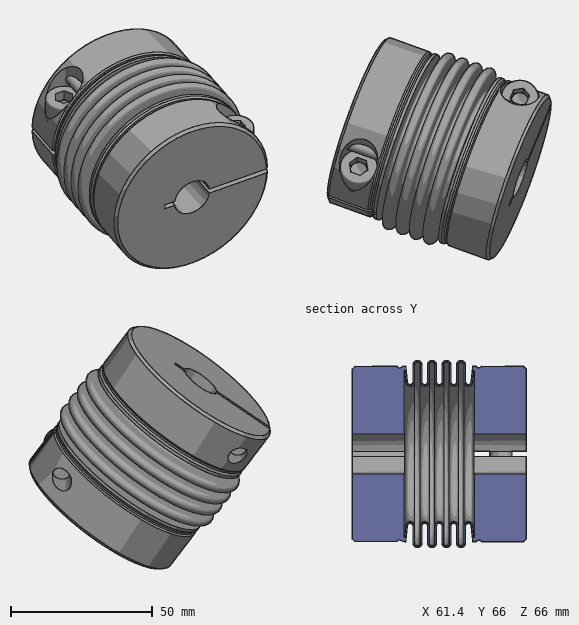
import cadquery as cq
import math


length = 61.44
half_length = length / 2

hub_diameter = 62.0
hub_radius = hub_diameter / 2
hub_width = 18.4
hub_face_x = -half_length
hub_end_x = hub_face_x + hub_width
rim_chamfer = 1.0
bore_diameter = 14.0

groove_radius = 61.0 / 2
groove_start_x = hub_face_x + 15.75
groove_entry_width = 0.6
groove_floor_width = 0.7
groove_ramp_width = 0.8

slit_width = 1.8
slit_reach = 11.0

crest_radius = 66.0 / 2
trough_radius = 49.0 / 2
crest_count = 4
pitch = 5.12
wall = 0.64
wide_arc = pitch / 4 + wall / 2
tight_arc = pitch / 4 - wall / 2
weld_land = 1.0
rim_width = 0.55

screw_x = hub_face_x + 9.0
screw_y = -22.5
half_corner_angle = 30.0
shank_diameter = 8.0
head_diameter = 13.0
head_height = 8.0
head_fillet = 0.8
head_top_z = 17.0
seat_z = head_top_z - head_height
screw_length = 20.0
socket_flats = 6.0
socket_depth = 4.0
socket_tip_depth = 1.7

counterbore_diameter = 13.5
clearance_diameter = 8.5
tapped_diameter = 6.8

pin_diameter = 4.0
pin_offset = 5.75
pin_y = screw_y + pin_offset
pin_z = 19.5
pin_length = counterbore_diameter


def vertical_cylinder(diameter, bottom_z, top_z):
    """Cylinder along Z on the axis of the left hub's screw."""
    return (
        cq.Workplane("XY", origin=(screw_x, screw_y, bottom_z))
        .circle(diameter / 2)
        .extrude(top_z - bottom_z)
    )


def hub_blank():
    """Left hub as a turned disc with bore, chamfered outer rim and groove."""
    floor_start = groove_start_x + groove_entry_width
    floor_end = floor_start + groove_floor_width
    profile = (
        cq.Workplane("XY")
        .moveTo(hub_face_x, bore_diameter / 2)
        .lineTo(hub_face_x, hub_radius - rim_chamfer)
        .lineTo(hub_face_x + rim_chamfer, hub_radius)
        .lineTo(groove_start_x, hub_radius)
        .lineTo(floor_start, groove_radius)
        .lineTo(floor_end, groove_radius)
        .lineTo(floor_end + groove_ramp_width, hub_radius)
        .lineTo(hub_end_x, hub_radius)
        .lineTo(hub_end_x, bore_diameter / 2)
        .close()
    )
    disc = profile.revolve(360, (0, 0, 0), (1, 0, 0))
    return disc.rotate((0, 0, 0), (1, 0, 0), 180)


def clamping_slit():
    """Slit from the -Y side of the left hub to just past the bore."""
    slit_length = hub_radius + slit_reach
    return cq.Workplane("XY").box(hub_width, slit_length, slit_width).translate(
        (hub_face_x + hub_width / 2, slit_reach - slit_length / 2, 0)
    )


def screw(socket_angle):
    """Socket head screw with its hexagon turned by socket_angle degrees."""
    head = vertical_cylinder(head_diameter, seat_z, head_top_z).faces(">Z").edges().fillet(head_fillet)
    shank = vertical_cylinder(shank_diameter, seat_z - screw_length, seat_z)

    across_corners = socket_flats / math.cos(math.radians(half_corner_angle))
    socket_floor_z = head_top_z - socket_depth
    hexagon = (
        cq.Workplane("XY")
        .polygon(6, across_corners)
        .extrude(socket_depth)
        .rotate((0, 0, 0), (0, 0, 1), socket_angle)
        .translate((screw_x, screw_y, socket_floor_z))
    )
    tip = cq.Workplane(
        cq.Solid.makeCone(
            socket_flats / 2, 0, socket_tip_depth,
            cq.Vector(screw_x, screw_y, socket_floor_z), cq.Vector(0, 0, -1),
        )
    )
    return head.union(shank).cut(hexagon).cut(tip)


def retaining_pin():
    """Pin along X that crosses the counterbore just above the screw head."""
    return (
        cq.Workplane("YZ", origin=(screw_x - pin_length / 2, pin_y, pin_z))
        .circle(pin_diameter / 2)
        .extrude(pin_length)
    )


def clamping_hub(socket_angle):
    """Complete left hub with its screw and pin."""
    return (
        hub_blank()
        .cut(clamping_slit())
        .cut(vertical_cylinder(counterbore_diameter, seat_z, hub_radius))
        .cut(vertical_cylinder(clearance_diameter, 0, seat_z))
        .cut(vertical_cylinder(tapped_diameter, -hub_radius, 0))
        .union(screw(socket_angle))
        .union(retaining_pin())
    )


def fold_side(profile, crest_arc, trough_arc, crest_r, trough_r):
    """Add one side of the bellows wall to profile, from the first trough to the last."""
    first_trough_x = -crest_count * pitch / 2
    trough_centre_r = trough_r + trough_arc
    crest_centre_r = crest_r - crest_arc
    for index in range(crest_count + 1):
        trough_x = first_trough_x + index * pitch
        profile = (
            profile.lineTo(trough_x - trough_arc, trough_centre_r)
            .threePointArc((trough_x, trough_r), (trough_x + trough_arc, trough_centre_r))
        )
        if index < crest_count:
            crest_x = trough_x + pitch / 2
            profile = (
                profile.lineTo(crest_x - crest_arc, crest_centre_r)
                .threePointArc((crest_x, crest_r), (crest_x + crest_arc, crest_centre_r))
            )
    return profile


def bellows():
    """Thin folded tube whose rims sit on the inner faces of the hubs."""
    rim_x = hub_end_x + rim_width
    outer = cq.Workplane("XY").moveTo(hub_end_x, hub_radius).lineTo(rim_x, hub_radius)
    outer = fold_side(outer, wide_arc, tight_arc, crest_radius, trough_radius)
    outer = (
        outer.lineTo(-rim_x, hub_radius)
        .lineTo(-hub_end_x, hub_radius)
        .lineTo(-hub_end_x, 0)
        .lineTo(hub_end_x, 0)
        .close()
    )
    land_radius = hub_radius - weld_land
    inner = cq.Workplane("XY").moveTo(hub_end_x, land_radius)
    inner = fold_side(inner, tight_arc, wide_arc, crest_radius - wall, trough_radius - wall)
    inner = (
        inner.lineTo(-hub_end_x, land_radius)
        .lineTo(-hub_end_x, 0)
        .lineTo(hub_end_x, 0)
        .close()
    )
    axis = ((0, 0, 0), (1, 0, 0))
    return outer.revolve(360, *axis).cut(inner.revolve(360, *axis))


left_hub = clamping_hub(socket_angle=half_corner_angle)
right_hub = clamping_hub(socket_angle=0).rotate((0, 0, 0), (0, 0, 1), 180)

result = bellows().union(left_hub).union(right_hub)